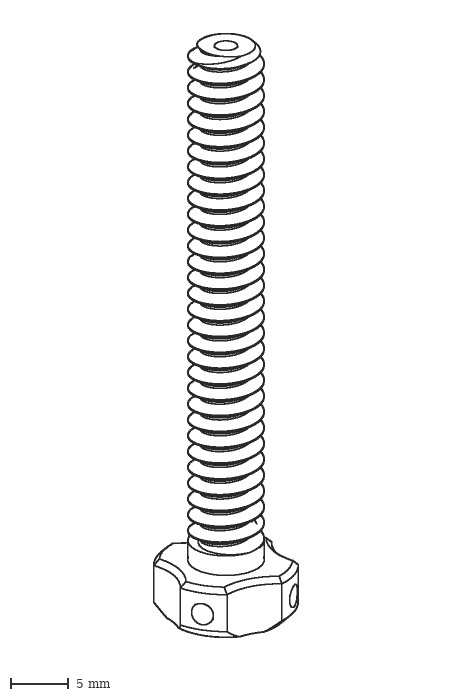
import cadquery as cq
import math

total_height = 53.75

head_diameter = 12.5
head_height = 5.0
head_radius = head_diameter / 2
lobe_width = 4.3
scallop_floor_radius = 5.0
lobe_count = 4
top_chamfer = 0.5
bottom_chamfer = 1.0

collar_diameter = 6.6
collar_height = 1.85
collar_top = head_height + collar_height

thread_diameter = collar_diameter
thread_pitch = 1.5
thread_depth = 1.05
crest_width = thread_pitch / 16
flank_half_angle = 30.0
crest_radius = thread_diameter / 2
root_radius = crest_radius - thread_depth
core_overlap = 0.1
tip_diameter = 5.1
tip_chamfer_height = 0.8
crest_start_height = 5.06
crest_start_angle = -90

bore_diameter = 2.0
cross_hole_height = head_height / 2


def make_head_outline():
    """Lobes on +-X and +-Y joined by concave arcs on the diagonals."""
    half_width = lobe_width / 2
    corner_angle = math.degrees(math.asin(half_width / head_radius))
    step = 360 / lobe_count

    def polar(radius, angle):
        return (radius * math.cos(math.radians(angle)), radius * math.sin(math.radians(angle)))

    outline = cq.Workplane("XY").moveTo(*polar(head_radius, -corner_angle))
    for lobe in range(lobe_count):
        angle = lobe * step
        outline = outline.threePointArc(
            polar(head_radius, angle), polar(head_radius, angle + corner_angle)
        )
        outline = outline.threePointArc(
            polar(scallop_floor_radius, angle + step / 2),
            polar(head_radius, angle + step - corner_angle),
        )
    return outline.close()


def make_head():
    head = make_head_outline().extrude(head_height)
    head = head.faces(">Z").edges().chamfer(top_chamfer)
    cone_blank = cq.Workplane("XY").circle(head_radius).extrude(head_height)
    cone_blank = cone_blank.faces("<Z").edges().chamfer(bottom_chamfer)
    return head.intersect(cone_blank)


def make_collar():
    collar = cq.Workplane("XY").workplane(offset=head_height).circle(collar_diameter / 2)
    return collar.extrude(collar_height)


def make_thread_ridge():
    """Right-hand helical ridge that runs past the tip by one pitch."""
    base_radius = root_radius - core_overlap
    half_crest = crest_width / 2
    half_base = half_crest + (crest_radius - base_radius) * math.tan(math.radians(flank_half_angle))
    helix_height = total_height - crest_start_height + thread_pitch

    def helix(radius, height_offset):
        wire = cq.Wire.makeHelix(thread_pitch, helix_height, radius)
        return wire.translate(cq.Vector(0, 0, height_offset))

    edges = [
        helix(base_radius, -half_base),
        helix(crest_radius, -half_crest),
        helix(crest_radius, half_crest),
        helix(base_radius, half_base),
    ]
    faces = []
    for index, edge in enumerate(edges):
        next_edge = edges[(index + 1) % len(edges)]
        faces.append(cq.Face.makeRuledSurface(edge, next_edge))
    for end in (0, 1):
        corners = [edge.positionAt(end) for edge in edges]
        faces.append(cq.Face.makeFromWires(cq.Wire.makePolygon(corners, close=True)))
    ridge = cq.Workplane(cq.Solid.makeSolid(cq.Shell.makeShell(faces)))
    ridge = ridge.rotate((0, 0, 0), (0, 0, 1), crest_start_angle)
    return ridge.translate((0, 0, crest_start_height))


def make_thread_blank():
    """Bored blank that bounds the threaded length, with a chamfered tip."""
    clearance = 1.0
    bore_radius = bore_diameter / 2
    chamfer_start = total_height - tip_chamfer_height
    return (
        cq.Workplane("XZ")
        .moveTo(bore_radius, collar_top)
        .lineTo(crest_radius + clearance, collar_top)
        .lineTo(crest_radius + clearance, chamfer_start)
        .lineTo(crest_radius, chamfer_start)
        .lineTo(tip_diameter / 2, total_height)
        .lineTo(bore_radius, total_height)
        .close()
        .revolve(360, (0, 0, 0), (0, 1, 0))
    )


def make_thread():
    core_height = total_height - head_height + thread_pitch
    core = cq.Workplane("XY").workplane(offset=head_height).circle(root_radius).extrude(core_height)
    thread = core.union(make_thread_ridge(), clean=False)
    return thread.intersect(make_thread_blank(), clean=False)


def make_axial_bore():
    """Bore through head and collar; the thread blank carries it on to the tip."""
    return cq.Workplane("XY").circle(bore_diameter / 2).extrude(collar_top)


def make_cross_hole(plane):
    hole = cq.Workplane(plane).circle(bore_diameter / 2).extrude(head_radius, both=True)
    return hole.translate((0, 0, cross_hole_height))


knob = make_head().union(make_collar()).cut(make_axial_bore())
for hole_plane in ("XZ", "YZ"):
    knob = knob.cut(make_cross_hole(hole_plane))
result = knob.union(make_thread(), clean=False)